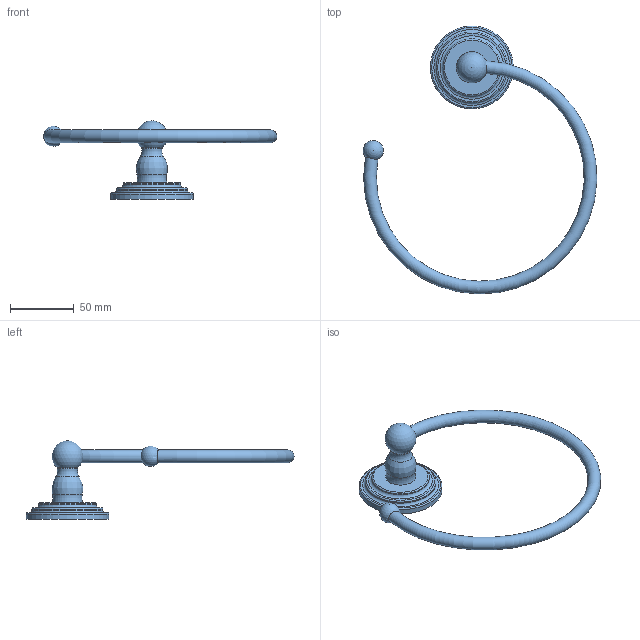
import cadquery as cq
import math

BASE_RADIUS = 32.5
BASE_RIM_Z = 4.0
BASE_TOP_Z = 5.0
BASE_ROUND = BASE_TOP_Z - BASE_RIM_Z
MIDDLE_RADIUS = 27.8
MIDDLE_RIM_Z = 8.0
MIDDLE_TOP_Z = 9.0
MIDDLE_ROUND = MIDDLE_TOP_Z - MIDDLE_RIM_Z
LOWER_COVE = 2.0
TOP_RADIUS = 22.5
TOP_RIM_Z = 12.0
TOP_Z = 13.0
TOP_ROUND = TOP_Z - TOP_RIM_Z
UPPER_COVE = 2.4

FOOT_RADIUS = 11.8
FOOT_WAIST_RADIUS = 11.3
BELLY_START_Z = 19.7
BELLY_START_RADIUS = 11.7
BELLY_RADIUS = 12.3
BELLY_Z = 24.3
BELLY_END_Z = 33.2
BELLY_END_RADIUS = 9.2
NECK_WAIST_RADIUS = 7.9
NECK_WAIST_Z = 37.0
NECK_RADIUS = 8.1
NECK_END_Z = 39.5

BALL_RADIUS = 12.2
OVERALL_HEIGHT = 61.52
BALL_Z = OVERALL_HEIGHT - BALL_RADIUS

TUBE_RADIUS = 5.0
RING_RADIUS = 86.53
RING_OUTER_RADIUS = RING_RADIUS + TUBE_RADIUS
OVERALL_DEPTH = 210.27
RING_CENTER_X = 6.6
RING_CENTER_Y = RING_OUTER_RADIUS + BASE_RADIUS - OVERALL_DEPTH
RING_START_X = 8.0
RING_END_ANGLE = 166.0
TIP_RADIUS = 8.0


def quarter_round(profile, radius, top_z, size):
    """Add a convex quarter arc from the outer wall onto the step's flat top."""
    diagonal = size * math.sqrt(0.5)
    middle = (radius - size + diagonal, top_z - size + diagonal)
    return profile.threePointArc(middle, (radius - size, top_z))


def quarter_cove(profile, radius, floor_z, size):
    """Add a concave quarter arc from a flat floor up to the next step's wall."""
    offset = size * (1 - math.sqrt(0.5))
    middle = (radius + offset, floor_z + offset)
    return profile.threePointArc(middle, (radius, floor_z + size))


def make_stand():
    """Revolve the flange and post; profile points are (radius, height)."""
    profile = cq.Workplane("XZ").lineTo(BASE_RADIUS, 0)
    profile = profile.lineTo(BASE_RADIUS, BASE_RIM_Z)
    profile = quarter_round(profile, BASE_RADIUS, BASE_TOP_Z, BASE_ROUND)
    profile = profile.lineTo(MIDDLE_RADIUS + LOWER_COVE, BASE_TOP_Z)
    profile = quarter_cove(profile, MIDDLE_RADIUS, BASE_TOP_Z, LOWER_COVE)
    profile = profile.lineTo(MIDDLE_RADIUS, MIDDLE_RIM_Z)
    profile = quarter_round(profile, MIDDLE_RADIUS, MIDDLE_TOP_Z, MIDDLE_ROUND)
    profile = profile.lineTo(TOP_RADIUS + UPPER_COVE, MIDDLE_TOP_Z)
    profile = quarter_cove(profile, TOP_RADIUS, MIDDLE_TOP_Z, UPPER_COVE)
    profile = profile.lineTo(TOP_RADIUS, TOP_RIM_Z)
    profile = quarter_round(profile, TOP_RADIUS, TOP_Z, TOP_ROUND)
    profile = profile.lineTo(FOOT_RADIUS, TOP_Z)
    foot_waist_z = (TOP_Z + BELLY_START_Z) / 2
    profile = profile.threePointArc(
        (FOOT_WAIST_RADIUS, foot_waist_z), (BELLY_START_RADIUS, BELLY_START_Z)
    )
    profile = profile.threePointArc((BELLY_RADIUS, BELLY_Z), (BELLY_END_RADIUS, BELLY_END_Z))
    profile = profile.threePointArc((NECK_WAIST_RADIUS, NECK_WAIST_Z), (NECK_RADIUS, NECK_END_Z))
    profile = profile.lineTo(NECK_RADIUS, BALL_Z).lineTo(0, BALL_Z).close()
    return profile.revolve(360, (0, 0, 0), (0, 1, 0))


def make_ball(radius, x, y):
    return cq.Workplane("XY").sphere(radius).translate((x, y, BALL_Z))


def ring_point(angle):
    """Point on the ring's centreline at an angle in degrees from +X."""
    turn = math.radians(angle)
    return (
        RING_CENTER_X + RING_RADIUS * math.cos(turn),
        RING_CENTER_Y + RING_RADIUS * math.sin(turn),
    )


def make_ring():
    """Sweep the round bar clockwise from inside the ball to the tip."""
    start_angle = math.degrees(math.acos((RING_START_X - RING_CENTER_X) / RING_RADIUS))
    sweep_angle = 360 + start_angle - RING_END_ANGLE
    start_x, start_y = ring_point(start_angle)
    axis_direction = (math.sin(math.radians(start_angle)), -math.cos(math.radians(start_angle)), 0)
    section = cq.Workplane(cq.Plane((start_x, start_y, BALL_Z), (0, 0, 1), axis_direction))
    path = (
        cq.Workplane("XY", origin=(0, 0, BALL_Z))
        .moveTo(start_x, start_y)
        .threePointArc(ring_point(start_angle - sweep_angle / 2), ring_point(RING_END_ANGLE))
    )
    return section.circle(TUBE_RADIUS).sweep(path)


post_ball = make_ball(BALL_RADIUS, 0, 0)
tip_ball = make_ball(TIP_RADIUS, *ring_point(RING_END_ANGLE))
result = make_stand().union(post_ball).union(make_ring()).union(tip_ball)